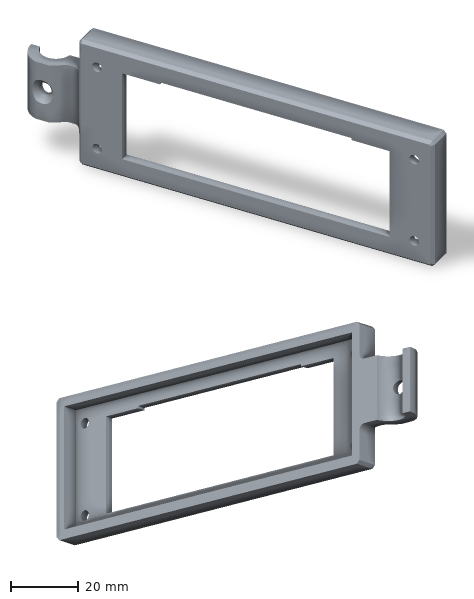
import cadquery as cq
import math

total_length = 140.2
depth = 8.0
frame_height = 44.0
frame_left = 20.0
frame_length = total_length - frame_left
frame_center = frame_left + frame_length / 2
edge_chamfer = 1.0

wall = 3.0
panel_thickness = 2.8
window_length = 90.3
window_bottom = -15.4
window_top = 14.7
notch_length = 64.8
notch_top = 15.4
screw_spacing_x = 107.2
screw_spacing_z = 28.6
screw_diameter = 3.2

clip_height = 20.0
clip_radius = 8.0
clip_center_y = -0.3
bore_radius = 5.0
bore_center_y = 0.7
neck_thickness = 5.0
neck_fillet = 3.0
corner_fillet = 2.0
clip_hole_diameter = 4.2
countersink_diameter = 8.1


def box(x_min, x_max, y_min, y_max, z_min, z_max):
    """Block given by its limits along each axis."""
    return cq.Workplane("XY").box(
        x_max - x_min, y_max - y_min, z_max - z_min, centered=False
    ).translate((x_min, y_min, z_min))


def cylinder_z(x, y, radius, height):
    return cq.Workplane("XY").center(x, y).circle(radius).extrude(height / 2, both=True)


def make_frame():
    """Block with chamfered upright and long edges and a chamfered front face."""
    half = frame_height / 2
    frame = box(frame_left, total_length, -depth, 0, -half, half)
    return frame.edges("|Y").chamfer(edge_chamfer).faces("<Y").chamfer(edge_chamfer)


def make_clip_profile(height):
    """Clip and neck section: flat-nosed round, blended into the neck and the frame."""
    nose_half = math.sqrt(clip_radius**2 - (depth + clip_center_y) ** 2)
    fillet_y = -neck_thickness - neck_fillet
    reach = clip_radius + neck_fillet
    drop = clip_center_y - fillet_y
    angle = math.asin(drop / reach)
    blend_x = clip_radius + reach * math.cos(angle)

    def on_clip(turn):
        return (clip_radius + clip_radius * math.cos(turn), clip_center_y - clip_radius * math.sin(turn))

    def on_blend(turn):
        return (blend_x - neck_fillet * math.cos(turn), fillet_y + neck_fillet * math.sin(turn))

    nose_angle = math.acos(nose_half / clip_radius)
    diagonal = neck_fillet * math.sqrt(0.5)
    frame_fillet_x = frame_left - neck_fillet
    root_x = frame_left + edge_chamfer
    return (
        cq.Workplane("XY")
        .moveTo(0, 0)
        .lineTo(0, clip_center_y)
        .threePointArc(on_clip(math.pi - nose_angle / 2), (clip_radius - nose_half, -depth))
        .lineTo(clip_radius + nose_half, -depth)
        .threePointArc(on_clip((nose_angle + angle) / 2), on_clip(angle))
        .threePointArc(on_blend((angle + math.pi / 2) / 2), (blend_x, -neck_thickness))
        .lineTo(frame_fillet_x, -neck_thickness)
        .threePointArc((frame_fillet_x + diagonal, fillet_y + diagonal), (frame_left, fillet_y))
        .lineTo(root_x, fillet_y)
        .lineTo(root_x, 0)
        .close()
        .extrude(height / 2, both=True)
    )


def make_clip():
    """Clip whose top and bottom edges flare into the side of the frame."""
    half = clip_height / 2
    flared_height = clip_height + 2 * corner_fillet
    flare_x = frame_left - corner_fillet
    root_x = frame_left + edge_chamfer
    outline = box(0, root_x, -depth, 0, -half, half)
    flare = box(flare_x, root_x, -depth, 0, -flared_height / 2, flared_height / 2)
    for side in (-1, 1):
        round_cut = (
            cq.Workplane("XZ")
            .center(flare_x, side * (half + corner_fillet))
            .circle(corner_fillet)
            .extrude(depth)
        )
        flare = flare.cut(round_cut)
    clip = make_clip_profile(flared_height).intersect(outline.union(flare))
    chamfer_clearance = (
        cq.Workplane("XY")
        .moveTo(frame_left + edge_chamfer, -depth)
        .lineTo(frame_left - edge_chamfer, -depth + 2 * edge_chamfer)
        .lineTo(frame_left - edge_chamfer, -depth)
        .close()
        .extrude(flared_height / 2, both=True)
    )
    return clip.cut(chamfer_clearance)


def cut_panel_openings(body):
    """Pocket from the back, notched window and the four screw holes."""
    pocket_half = frame_height / 2 - wall
    window_half = window_length / 2
    notch_half = notch_length / 2
    pocket = box(
        frame_left + wall, total_length - wall, -depth + panel_thickness, 0, -pocket_half, pocket_half
    )
    window = box(
        frame_center - window_half, frame_center + window_half, -depth, 0, window_bottom, window_top
    )
    notch = box(frame_center - notch_half, frame_center + notch_half, -depth, 0, 0, notch_top)
    screws = (
        cq.Workplane("XZ")
        .center(frame_center, 0)
        .rarray(screw_spacing_x, screw_spacing_z, 2, 2)
        .circle(screw_diameter / 2)
        .extrude(depth)
    )
    return body.cut(pocket).cut(window).cut(notch).cut(screws)


def cut_clip_openings(body):
    """Half-round bore and the countersunk hole through the clip nose."""
    bore = cylinder_z(clip_radius, bore_center_y, bore_radius, clip_height)
    hole = cq.Workplane("XZ").center(clip_radius, 0).circle(clip_hole_diameter / 2).extrude(depth)
    sink_depth = (countersink_diameter - clip_hole_diameter) / 2
    sink = cq.Workplane(
        cq.Solid.makeCone(
            countersink_diameter / 2,
            clip_hole_diameter / 2,
            sink_depth,
            pnt=cq.Vector(clip_radius, -depth, 0),
            dir=cq.Vector(0, 1, 0),
        )
    )
    return body.cut(bore).cut(hole).cut(sink)


result = cut_clip_openings(cut_panel_openings(make_frame().union(make_clip())))